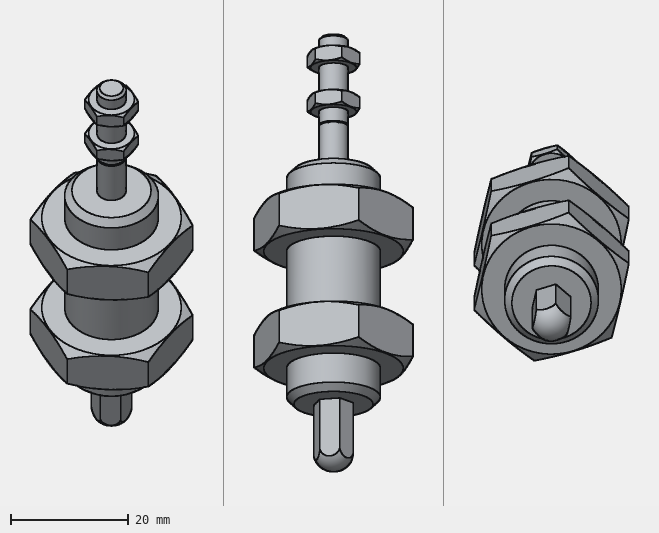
import cadquery as cq
import math

ROD_LENGTH = 78.0
ROD_DIAMETER = 5.0
ROD_CHAMFER = 0.5

THREAD_LENGTH = 16.0
GROOVE_WIDTH = 0.2
GROOVE_DEPTH = 0.4

SHANK_FLATS = 6.0
TIP_RADIUS = 3.5

BARREL_DIAMETER = 16.0
BARREL_BOTTOM = 12.0
BARREL_TOP = 54.0
BARREL_CHAMFER = 1.25

BARREL_NUT_FLATS = 24.0
BARREL_NUT_HEIGHT = 8.0
BARREL_NUT_FACE_DIAMETER = 23.8
BARREL_NUT_BOTTOMS = (18.5, 39.55)

ROD_NUT_FLATS = 7.95
ROD_NUT_HEIGHT = 2.7
ROD_NUT_FACE_DIAMETER = 7.8
ROD_NUT_BOTTOMS = (64.7, 72.6)

NUT_CHAMFER_ANGLE = 30.0


def across_corners(flats):
    """Corner-to-corner size of a regular hexagon."""
    return flats / math.cos(math.pi / 6)


def hex_prism(flats, bottom, height):
    """Hexagonal prism with two corners on the X axis."""
    return (
        cq.Workplane("XY")
        .workplane(offset=bottom)
        .polygon(6, across_corners(flats))
        .extrude(height)
    )


def make_nut(flats, height, face_diameter, bore_diameter, bottom):
    """Hex nut with both ends chamfered conically at the corners."""
    corner_radius = across_corners(flats) / 2
    face_radius = face_diameter / 2
    drop = (corner_radius - face_radius) * math.tan(math.radians(NUT_CHAMFER_ANGLE))
    top = bottom + height
    envelope = (
        cq.Workplane("XZ")
        .moveTo(0, bottom)
        .lineTo(face_radius, bottom)
        .lineTo(corner_radius, bottom + drop)
        .lineTo(corner_radius, top - drop)
        .lineTo(face_radius, top)
        .lineTo(0, top)
        .close()
        .revolve(360, (0, 0), (0, 1))
    )
    blank = hex_prism(flats, bottom, height).intersect(envelope)
    bore = cq.Workplane("XY").workplane(offset=bottom).circle(bore_diameter / 2).extrude(height)
    return blank.cut(bore)


def make_barrel():
    """Cylinder chamfered at both ends, bored through for the rod."""
    length = BARREL_TOP - BARREL_BOTTOM
    body = (
        cq.Workplane("XY")
        .workplane(offset=BARREL_BOTTOM)
        .circle(BARREL_DIAMETER / 2)
        .extrude(length)
        .faces("<Z or >Z")
        .chamfer(BARREL_CHAMFER)
    )
    bore = (
        cq.Workplane("XY")
        .workplane(offset=BARREL_BOTTOM)
        .circle(ROD_DIAMETER / 2)
        .extrude(length)
    )
    return body.cut(bore)


def make_shank():
    """Hexagonal shank whose lower end is rounded by a sphere."""
    ball = cq.Workplane("XY").sphere(TIP_RADIUS).translate((0, 0, TIP_RADIUS))
    sleeve = (
        cq.Workplane("XY")
        .workplane(offset=TIP_RADIUS)
        .circle(TIP_RADIUS)
        .extrude(BARREL_BOTTOM - TIP_RADIUS)
    )
    return hex_prism(SHANK_FLATS, 0, BARREL_BOTTOM).intersect(ball.union(sleeve))


def make_groove():
    """Ring removed from the rod, with a flat lower wall and a sloping upper wall."""
    outer_radius = ROD_DIAMETER / 2
    bottom = ROD_LENGTH - THREAD_LENGTH
    return (
        cq.Workplane("XZ")
        .moveTo(outer_radius - GROOVE_DEPTH, bottom)
        .lineTo(outer_radius, bottom)
        .lineTo(outer_radius, bottom + GROOVE_WIDTH)
        .close()
        .revolve(360, (0, 0), (0, 1))
    )


def make_rod():
    """Round rod running through the barrel, in one piece with its hexagonal shank."""
    round_length = ROD_LENGTH - BARREL_BOTTOM
    round_part = (
        cq.Workplane("XY")
        .workplane(offset=BARREL_BOTTOM)
        .circle(ROD_DIAMETER / 2)
        .extrude(round_length)
        .faces(">Z")
        .chamfer(ROD_CHAMFER)
    )
    return round_part.union(make_shank()).cut(make_groove())


rod = make_rod()
barrel = make_barrel()

barrel_nuts = []
for nut_bottom in BARREL_NUT_BOTTOMS:
    barrel_nut = make_nut(
        BARREL_NUT_FLATS, BARREL_NUT_HEIGHT, BARREL_NUT_FACE_DIAMETER, BARREL_DIAMETER, nut_bottom
    )
    barrel_nuts.append(barrel_nut.val())

rod_nuts = []
for nut_bottom in ROD_NUT_BOTTOMS:
    rod_nut = make_nut(ROD_NUT_FLATS, ROD_NUT_HEIGHT, ROD_NUT_FACE_DIAMETER, ROD_DIAMETER, nut_bottom)
    rod_nuts.append(rod_nut.val())

result = cq.Compound.makeCompound([rod.val(), barrel.val(), *barrel_nuts, *rod_nuts])